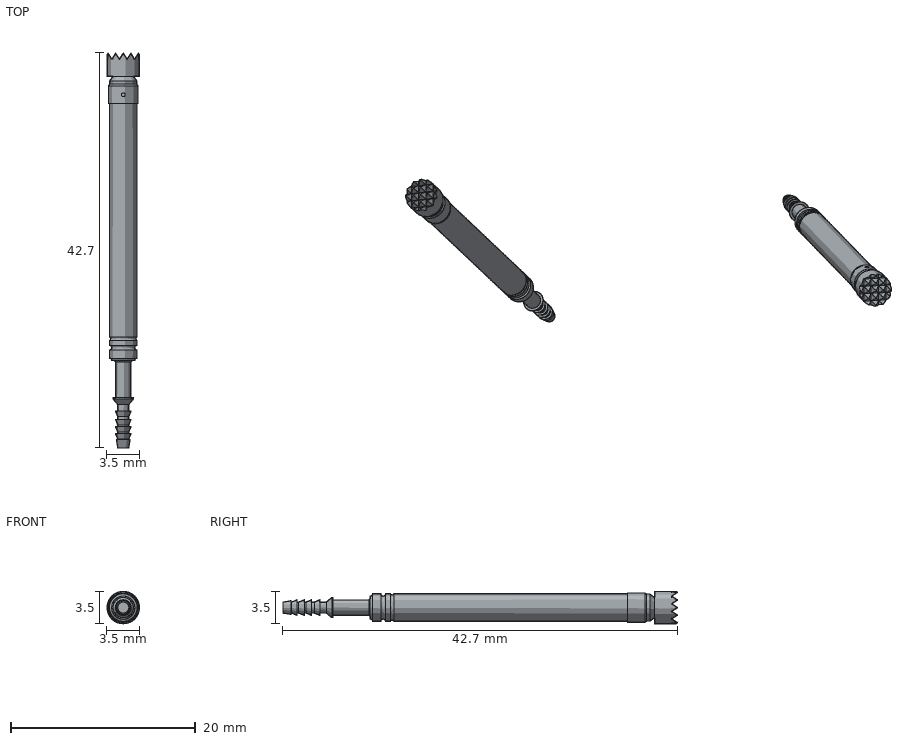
import cadquery as cq
import math

overall_length = 42.7

head_radius = 1.75
head_length = 2.5
tooth_pitch = 0.82
tooth_depth = 0.65

neck_front_radius = 1.1
neck_radius = 1.47
neck_cone_end = 3.0
neck_end = 3.35

collar_radius = 1.6
collar_start = 3.55
collar_end = 5.45
dimple_station = 4.5
dimple_diameter = 0.4
dimple_depth = 0.2

barrel_radius = 1.5
barrel_end = 33.25
barrel_end_round = 0.25
shallow_groove_start = 30.68
shallow_groove_width = 0.4
shallow_groove_depth = 0.12
deep_groove_start = 31.6
deep_groove_width = 0.5
deep_groove_depth = 0.25

rod_collar_radius = 1.0
rod_collar_end = 33.4
rod_radius = 0.83
flange_radius = 1.1
flange_start = 37.25
flange_cone_start = 37.4
flange_cone_end = 38.0

tail_radius = 0.6
barb_radius = 0.85
barb_length = 0.6
barb_starts = (38.7, 39.6, 40.38, 41.15)
end_barb_radius = 0.75
end_barb_start = 41.8


def at(offset, station):
    """Point at a distance to the side of the probe axis and a distance back from the tip."""
    return offset, overall_length - station


def add_groove(profile, start, width, depth):
    """Run the barrel profile up to a round-bottomed groove and through it."""
    return (
        profile.lineTo(*at(barrel_radius, start))
        .threePointArc(
            at(barrel_radius - depth, start + width / 2),
            at(barrel_radius, start + width),
        )
    )


def add_barb(profile, start):
    """Step up to a barb and taper back down to the tail."""
    return (
        profile.lineTo(*at(tail_radius, start))
        .lineTo(*at(barb_radius, start))
        .lineTo(*at(tail_radius, start + barb_length))
    )


def make_body():
    """Revolve the whole probe, from the tip of the head to the end of the tail."""
    profile = (
        cq.Workplane("XY")
        .moveTo(*at(0, 0))
        .lineTo(*at(head_radius, 0))
        .lineTo(*at(head_radius, head_length))
        .lineTo(*at(neck_front_radius, head_length))
        .lineTo(*at(neck_radius, neck_cone_end))
        .lineTo(*at(neck_radius, neck_end))
        .lineTo(*at(collar_radius, collar_start))
        .lineTo(*at(collar_radius, collar_end))
        .lineTo(*at(barrel_radius, collar_end))
    )
    profile = add_groove(profile, shallow_groove_start, shallow_groove_width, shallow_groove_depth)
    profile = add_groove(profile, deep_groove_start, deep_groove_width, deep_groove_depth)
    profile = (
        profile.lineTo(*at(barrel_radius, barrel_end - barrel_end_round))
        .radiusArc(at(barrel_radius - barrel_end_round, barrel_end), -barrel_end_round)
        .lineTo(*at(rod_collar_radius, barrel_end))
        .lineTo(*at(rod_radius, rod_collar_end))
        .lineTo(*at(rod_radius, flange_start))
        .lineTo(*at(flange_radius, flange_start))
        .lineTo(*at(flange_radius, flange_cone_start))
        .lineTo(*at(tail_radius, flange_cone_end))
    )
    for start in barb_starts:
        profile = add_barb(profile, start)
    profile = (
        profile.lineTo(*at(tail_radius, end_barb_start))
        .lineTo(*at(end_barb_radius, end_barb_start))
        .lineTo(*at(tail_radius, overall_length))
        .lineTo(*at(0, overall_length))
    )
    return profile.close().revolve(360, (0, 0, 0), (0, 1, 0))


def cut_teeth(body):
    """Cut V grooves across the head face in both directions, midway between the rows of teeth."""
    grooves_per_side = math.ceil(head_radius / tooth_pitch)
    for index in range(-grooves_per_side, grooves_per_side):
        centre = (index + 0.5) * tooth_pitch
        groove = (
            cq.Workplane("XY")
            .moveTo(*at(centre - tooth_pitch / 2, 0))
            .lineTo(*at(centre, tooth_depth))
            .lineTo(*at(centre + tooth_pitch / 2, 0))
            .close()
            .extrude(2 * head_radius, both=True)
        )
        crossing_groove = groove.rotate((0, 0, 0), (0, 1, 0), 90)
        body = body.cut(groove).cut(crossing_groove)
    return body


def make_dimple():
    """Small round mark sunk into the top of the collar."""
    return (
        cq.Workplane("XY", origin=(0, overall_length - dimple_station, collar_radius - dimple_depth))
        .circle(dimple_diameter / 2)
        .extrude(2 * dimple_depth)
    )


result = cut_teeth(make_body()).cut(make_dimple())